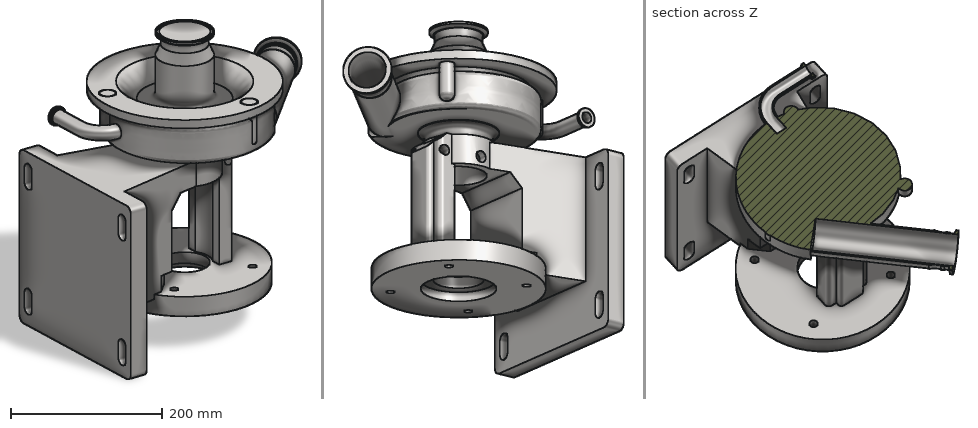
import cadquery as cq
import math


plate_size = 250.0
plate_thickness = 26.0
plate_outer_y = -180.0
plate_inner_y = plate_outer_y + plate_thickness
plate_corner_radius = 10.0
slot_width = 17.0
slot_length = 37.0
slot_spacing_x = 210.0
slot_spacing_z = 180.0
slot_center_z = 125.0

motor_flange_radius = 115.5
motor_flange_bottom = 54.0
motor_flange_top = 82.5
motor_bolt_circle_radius = 91.0
motor_bolt_diameter = 11.0
motor_flange_hole_radius = 33.5
motor_spigot_radius = 50.0
motor_spigot_depth = 12.5

bore_radius = 37.5
hub_radius = 50.0
hub_bottom = 212.5
hub_top = 253.5
hub_hole_diameter = 15.5
hub_hole_z = 225.5
web_front_y = -14.6
window_y = -62.5
window_chamfer_y = -45.5
window_chamfer_z = 192.5
web_edge_half_width = 75.0
web_taper = 0.2
web_bottom = 76.0
web_bottom_front_y = -96.0
bolt_relief_back_y = -83.5
bolt_relief_top = 105.0
leg_half_width = 34.0
leg_front_y = 32.0
leg_back_y = 56.0
leg_corner_radius = 7.0
rib_half_width = 20.0
rib_back_y = 65.5
rib_corner_radius = 5.5
leg_slope_y = 45.5
leg_slope_bottom = 235.5
leg_hole_diameter = 14.0
leg_hole_y = 48.0
leg_hole_z = 229.5

neck_radius = 45.0
neck_straight_top = 262.5
flare_radius = 9.0
volute_bottom = 272.5
volute_top = 325.0
volute_edge_radius = 7.0
tongue_angle = 45.0
tongue_radius = 96.7
volute_growth = 24.0
spiral_points = 25

cover_radius = 130.0
cover_bottom = 331.5
cover_top = 343.5
cover_spigot_radius = 97.0
recess_top_radius = 91.0
recess_cone_radius = 68.0
recess_cone_z = 322.0
recess_floor_radius = 63.5
recess_floor_z = 319.0

boss_circle_radius = 109.5
boss_angles = (15.0, 135.0, 255.0)
boss_radius = 10.2
boss_bottom = 280.0
boss_round = 9.0
boss_groove_depth = 3.0
boss_groove_outer_radius = 11.7
boss_groove_inner_radius = 10.5

inlet_top = 415.5
inlet_rim_radius = 39.0
inlet_rim_thickness = 3.0
inlet_neck_radius = 32.0
inlet_rim_base = 409.0
inlet_rim_base_radius = 33.5
inlet_cone_top = 397.5
inlet_cone_bottom = 382.0
inlet_body_radius = 39.0
inlet_root_fillet = 10.0
seal_groove_outer_radius = 37.0
seal_groove_inner_radius = 34.0
seal_groove_depth = 1.0

discharge_angle = 135.0
discharge_offset = 95.3
discharge_z = 299.6
discharge_length = 190.3
discharge_radius = 28.0
discharge_rim_radius = 32.4
discharge_rim_thickness = 3.5
discharge_rim_taper = 2.0
discharge_tube_radius = 27.0
discharge_bead_radius = 28.0
discharge_bead_start = 11.5
discharge_bead_end = 16.0
discharge_collar_radius = 28.6
discharge_collar_start = 24.0
discharge_collar_end = 32.0
discharge_bore_radius = 25.0

drain_z = 300.0
drain_y = -145.5
drain_end_x = -89.0
drain_radius = 10.2
drain_bore_radius = 7.5
drain_rim_radius = 13.2
drain_rim_thickness = 3.5
drain_rim_base_radius = 11.7
drain_rim_base_end = 5.5
elbow_radius = 34.0
elbow_start_x = -elbow_radius
drain_inner_y = -90.0


def cylinder(radius, bottom, top):
    """Solid cylinder on the pump axis between two heights."""
    return cq.Workplane("XY").workplane(offset=bottom).circle(radius).extrude(top - bottom)


def cross_hole(diameter, y, z, start_x, length):
    """Cutting cylinder parallel to X."""
    plane = cq.Workplane("YZ", origin=(start_x, y, z))
    return plane.circle(diameter / 2).extrude(length)


def make_mounting_plate():
    plate = (
        cq.Workplane("XY")
        .box(plate_size, plate_thickness, plate_size, centered=(True, False, False))
        .translate((0, plate_outer_y, 0))
        .edges("|Y")
        .fillet(plate_corner_radius)
    )
    slots = (
        cq.Workplane("XZ", origin=(0, plate_inner_y, slot_center_z))
        .rarray(slot_spacing_x, slot_spacing_z, 2, 2)
        .slot2D(slot_length, slot_width, 90)
        .extrude(plate_thickness)
    )
    return plate.cut(slots)


def make_motor_flange():
    bolt_pitch = motor_bolt_circle_radius * math.sqrt(2)
    bolt_holes = (
        cq.Workplane("XY", origin=(0, 0, motor_flange_bottom))
        .rect(bolt_pitch, bolt_pitch, forConstruction=True)
        .vertices()
        .circle(motor_bolt_diameter / 2)
        .extrude(motor_flange_top - motor_flange_bottom)
    )
    flange = cylinder(motor_flange_radius, motor_flange_bottom, motor_flange_top)
    center_hole = cylinder(motor_flange_hole_radius, motor_flange_bottom, motor_flange_top)
    spigot_top = motor_flange_bottom + motor_spigot_depth
    spigot_recess = cylinder(motor_spigot_radius, motor_flange_bottom, spigot_top)
    return flange.cut(bolt_holes).cut(center_hole).cut(spigot_recess)


def make_web():
    """Tapered web from the hub to the mounting plate."""

    def half_width(y):
        return web_edge_half_width - web_taper * (y - plate_inner_y)

    side_profile = (
        cq.Workplane("YZ")
        .moveTo(plate_inner_y, web_bottom)
        .lineTo(web_bottom_front_y, web_bottom)
        .lineTo(web_bottom_front_y, motor_flange_top)
        .lineTo(window_y, motor_flange_top)
        .lineTo(window_y, window_chamfer_z)
        .lineTo(window_chamfer_y, hub_bottom)
        .lineTo(0, hub_bottom)
        .lineTo(0, plate_size)
        .lineTo(plate_inner_y, plate_size)
        .close()
        .extrude(web_edge_half_width, both=True)
    )
    plan = (
        cq.Workplane("XY")
        .polyline([
            (-half_width(plate_inner_y), plate_inner_y),
            (half_width(plate_inner_y), plate_inner_y),
            (half_width(web_front_y), web_front_y),
            (-half_width(web_front_y), web_front_y),
        ])
        .close()
        .extrude(plate_size)
    )
    web = side_profile.intersect(plan)
    outer_x = half_width(bolt_relief_back_y)
    inner_x = outer_x - (window_y - bolt_relief_back_y)
    for side in (-1, 1):
        relief = (
            cq.Workplane("XY", origin=(0, 0, motor_flange_top))
            .polyline([
                (side * outer_x, bolt_relief_back_y),
                (side * inner_x, window_y),
                (side * outer_x, window_y),
            ])
            .close()
            .extrude(bolt_relief_top - motor_flange_top)
        )
        web = web.cut(relief)
    return web


def make_rear_leg():
    """Leg behind the hub: a main block with a rounded rib on its back."""

    def block(half_width, back_y, corner_radius):
        return (
            cq.Workplane("XY", origin=(0, 0, motor_flange_top))
            .moveTo(-half_width, leg_front_y)
            .lineTo(half_width, leg_front_y)
            .lineTo(half_width, back_y)
            .lineTo(-half_width, back_y)
            .close()
            .extrude(hub_top - motor_flange_top)
            .edges("|Z and >Y")
            .fillet(corner_radius)
        )

    leg = block(leg_half_width, leg_back_y, leg_corner_radius)
    leg = leg.union(block(rib_half_width, rib_back_y, rib_corner_radius))
    top_slope = (
        cq.Workplane("YZ")
        .moveTo(leg_slope_y, hub_top)
        .lineTo(rib_back_y, hub_top)
        .lineTo(rib_back_y, leg_slope_bottom)
        .close()
        .extrude(leg_half_width, both=True)
    )
    return leg.cut(top_slope)


def make_bracket():
    hub = cylinder(hub_radius, hub_bottom, hub_top)
    bracket = make_motor_flange().union(hub).union(make_web()).union(make_rear_leg())
    bore = cylinder(bore_radius, motor_flange_top, hub_top)
    leg_hole = cross_hole(leg_hole_diameter, leg_hole_y, leg_hole_z, -hub_radius, 2 * hub_radius)
    hub_hole = cross_hole(hub_hole_diameter, 0, hub_hole_z, -hub_radius, hub_radius)
    return bracket.cut(bore).cut(leg_hole).cut(hub_hole).union(make_mounting_plate())


def make_casing_neck():
    flare_rim = neck_radius + flare_radius
    flare_top = neck_straight_top + flare_radius
    return (
        cq.Workplane("XZ")
        .moveTo(0, hub_top)
        .lineTo(neck_radius, hub_top)
        .lineTo(neck_radius, neck_straight_top)
        .radiusArc((flare_rim, flare_top), flare_radius)
        .lineTo(flare_rim, volute_top)
        .lineTo(0, volute_top)
        .close()
        .revolve(360, (0, 0, 0), (0, 1, 0))
    )


def make_volute():
    """Spiral casing whose radius grows evenly over one turn from the tongue."""
    outline = []
    for i in range(spiral_points):
        turn = i / (spiral_points - 1)
        angle = math.radians(tongue_angle) + 2 * math.pi * turn
        radius = tongue_radius + volute_growth * turn
        outline.append((radius * math.cos(angle), radius * math.sin(angle)))
    return (
        cq.Workplane("XY", origin=(0, 0, volute_bottom))
        .moveTo(*outline[0])
        .spline(outline[1:], includeCurrent=True)
        .close()
        .extrude(volute_top - volute_bottom)
        .faces("<Z or >Z")
        .edges("not %LINE")
        .fillet(volute_edge_radius)
    )


def make_cover():
    spigot = cylinder(cover_spigot_radius, volute_bottom, cover_bottom)
    return cylinder(cover_radius, cover_bottom, cover_top).union(spigot)


def make_cover_recess():
    return (
        cq.Workplane("XZ")
        .moveTo(0, recess_floor_z)
        .lineTo(recess_floor_radius, recess_floor_z)
        .lineTo(recess_cone_radius, recess_cone_z)
        .lineTo(recess_top_radius, cover_top)
        .lineTo(0, cover_top)
        .close()
        .revolve(360, (0, 0, 0), (0, 1, 0))
    )


def make_inlet():
    root_radius = inlet_body_radius + inlet_root_fillet
    root_top = recess_floor_z + inlet_root_fillet
    inlet = (
        cq.Workplane("XZ")
        .moveTo(0, recess_floor_z)
        .lineTo(root_radius, recess_floor_z)
        .radiusArc((inlet_body_radius, root_top), inlet_root_fillet)
        .lineTo(inlet_body_radius, inlet_cone_bottom)
        .lineTo(inlet_neck_radius, inlet_cone_top)
        .lineTo(inlet_neck_radius, inlet_rim_base)
        .lineTo(inlet_rim_base_radius, inlet_rim_base)
        .lineTo(inlet_rim_radius, inlet_top - inlet_rim_thickness)
        .lineTo(inlet_rim_radius, inlet_top)
        .lineTo(0, inlet_top)
        .close()
        .revolve(360, (0, 0, 0), (0, 1, 0))
    )
    seal_groove = (
        cq.Workplane("XY", origin=(0, 0, inlet_top - seal_groove_depth))
        .circle(seal_groove_outer_radius)
        .circle(seal_groove_inner_radius)
        .extrude(seal_groove_depth)
    )
    return inlet.cut(seal_groove)


def add_bosses(body):
    """Round-ended bosses under the cover, each ringed by a groove on the cover face."""
    for angle in boss_angles:
        x = boss_circle_radius * math.cos(math.radians(angle))
        y = boss_circle_radius * math.sin(math.radians(angle))
        boss = cylinder(boss_radius, boss_bottom, cover_bottom).faces("<Z").edges().fillet(boss_round)
        groove = (
            cq.Workplane("XY", origin=(x, y, cover_top - boss_groove_depth))
            .circle(boss_groove_outer_radius)
            .circle(boss_groove_inner_radius)
            .extrude(boss_groove_depth)
        )
        body = body.union(boss.translate((x, y, 0))).cut(groove)
    return body


def place_discharge(solid):
    """Move a solid built along +X from the YZ plane onto the discharge axis."""
    placed = solid.rotate((0, 0, 0), (0, 0, 1), discharge_angle)
    tangent = math.radians(discharge_angle - 90)
    foot = (discharge_offset * math.cos(tangent), discharge_offset * math.sin(tangent), discharge_z)
    return placed.translate(foot)


def make_discharge():
    end = discharge_length
    rim_back = end - discharge_rim_thickness
    pipe = (
        cq.Workplane("XY")
        .moveTo(0, 0)
        .lineTo(0, discharge_radius)
        .lineTo(end - discharge_collar_end, discharge_radius)
        .lineTo(end - discharge_collar_end, discharge_collar_radius)
        .lineTo(end - discharge_collar_start, discharge_tube_radius)
        .lineTo(end - discharge_bead_end, discharge_tube_radius)
        .lineTo(end - discharge_bead_end, discharge_bead_radius)
        .lineTo(end - discharge_bead_start, discharge_bead_radius)
        .lineTo(end - discharge_bead_start, discharge_tube_radius)
        .lineTo(rim_back - discharge_rim_taper, discharge_tube_radius)
        .lineTo(rim_back, discharge_rim_radius)
        .lineTo(end, discharge_rim_radius)
        .lineTo(end, 0)
        .close()
        .revolve(360, (0, 0, 0), (1, 0, 0))
    )
    return place_discharge(pipe)


def make_discharge_bore():
    bore = cq.Workplane("YZ").circle(discharge_bore_radius).extrude(discharge_length)
    return place_discharge(bore)


def drain_sweep(radius):
    """Round bar along the drain: straight, then a quarter-turn elbow into the casing."""
    bend_center_y = drain_y + elbow_radius
    bend_reach = elbow_radius * math.sin(math.radians(45))
    path = (
        cq.Workplane("XY", origin=(0, 0, drain_z))
        .moveTo(drain_end_x, drain_y)
        .lineTo(elbow_start_x, drain_y)
        .threePointArc((elbow_start_x + bend_reach, bend_center_y - bend_reach), (0, bend_center_y))
        .lineTo(0, drain_inner_y)
    )
    return cq.Workplane("YZ", origin=(drain_end_x, drain_y, drain_z)).circle(radius).sweep(path)


def make_drain():
    rim_plane = cq.Workplane("YZ", origin=(drain_end_x, drain_y, drain_z))
    rim = rim_plane.circle(drain_rim_radius).extrude(drain_rim_thickness)
    rim_base = rim_plane.circle(drain_rim_base_radius).extrude(drain_rim_base_end)
    return drain_sweep(drain_radius).union(rim).union(rim_base)


def make_pump():
    pump = make_volute().union(make_casing_neck()).union(make_cover())
    pump = pump.union(make_discharge())
    pump = add_bosses(pump)
    pump = pump.cut(make_cover_recess()).union(make_inlet())
    pump = pump.union(make_drain())
    return pump.cut(make_discharge_bore()).cut(drain_sweep(drain_bore_radius))


result = make_bracket().union(make_pump())